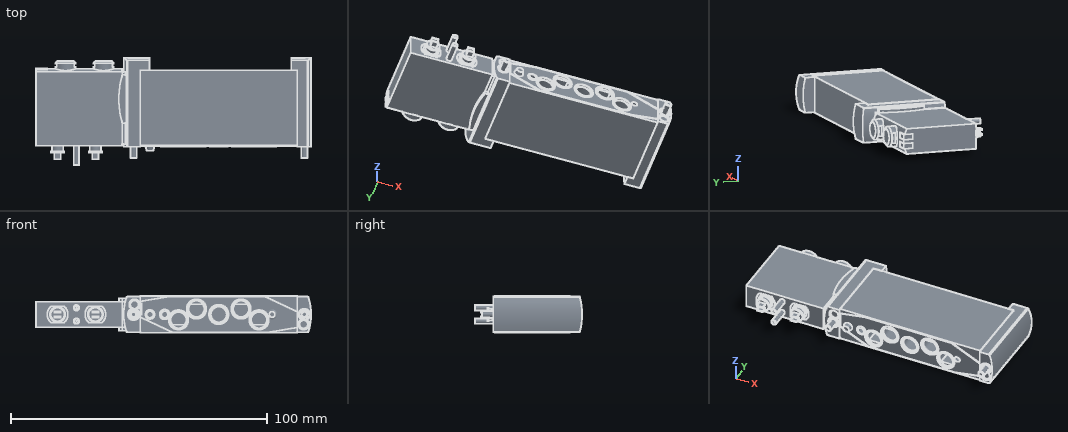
import cadquery as cq
import math


OVERALL_DEPTH = 41.91

HOUSING_LEFT = 40.85
HOUSING_RIGHT = 101.9
HOUSING_FRONT = 0.55
HOUSING_BACK = 29.95
HOUSING_HALF_HEIGHT = 7.2
HOUSING_MID = (HOUSING_LEFT + HOUSING_RIGHT) / 2

PAD_FRONT = 0.25
PAD_HALF_HEIGHT = 6.95
PAD_HALF_LENGTH = HOUSING_RIGHT - HOUSING_MID
PAD_STEEP_REACH = 18.1
PAD_SHALLOW_REACH = 19.5
PAD_STEEP_END = 1.1
PAD_SHALLOW_END = 5.1

SEAL_FRONT = 0.0
PORT_SEAL_DIAMETER = 7.7
PORT_MOUTH_DIAMETER = 6.5
PORT_DIAMETER = 6.1
PORT_MOUTH_END = 1.0
PORT_END = 8.0
PORT_OFFSET = 2.1
PORT_CEILING = 4.05
INNER_PORT_PITCH = 8.7
OUTER_PORT_PITCH = 15.7

PILOT_SEAL_DIAMETER = 3.9
PILOT_PORT_END = 3.0
PILOT_PORTS = [(50.3, 2.6), (92.2, 2.2)]

PEG_X = 44.55
PEG_DIAMETER = 3.6
PEG_TIP_DIAMETER = 2.6
PEG_TIP = -1.6

NOTCH_WIDTH = 0.45
NOTCH_DEPTH = 0.5
NOTCH_BOTTOM = -0.1
NOTCH_TOP = 4.35

CAP_HALF_HEIGHT = 7.0
CAP_BACK = 34.76
CAP_BACK_CROWN = 0.95
CAP_SIDE_CROWN = 1.1
CAP_CHAMFER_WIDTH = 0.5
CAP_CHAMFER_HEIGHT = 0.2
LEFT_CAP_OUTER = 34.3
RIGHT_CAP_OUTER = 107.45
LEFT_CAP_FOOT = 3.6
RIGHT_CAP_FOOT = 2.3

SCREW_DIAMETER = 2.5
SCREW_TIP = -4.5
SCREW_CHAMFER = 0.25
SCREW_RECESS_DIAMETER = 4.5
SCREW_RECESS_FLOOR_DIAMETER = 3.9
RECESS_DEPTH = 0.5
PLUG_DIAMETER = 4.2
PLUG_FLOOR_DIAMETER = 3.2
PLUG_OFFSET = 3.85
LEFT_SCREW_X = 38.15
RIGHT_SCREW_X = 104.75
LEFT_PLUG_X = 38.5
RIGHT_PLUG_X = 104.5

NECK_FRONT = 1.1
NECK_BACK = 29.2
NECK_HALF_HEIGHT = 5.0
LIP_FRONT = 9.2
LIP_BACK = 28.1
LIP_APEX_X = 32.4
LIP_HALF_HEIGHT = 6.39

PILOT_RIGHT = 33.7
PILOT_FRONT = 0.4
PILOT_BACK = 30.5
PILOT_BACK_CROWN = 1.2
PILOT_HALF_HEIGHT = 5.03

TAB_PROUD = 0.05
TAB_LENGTH = 4.5
TAB_HEIGHT = 2.1
TAB_OFFSET = 1.8
TAB_FRONT = 26.9
TAB_BACK = 30.6

SOCKET_X = [11.6, 26.45]
SOCKET_DIAMETER = 8.1
SOCKET_TOP_DIAMETER = 6.3
SOCKET_END = 33.5
SOCKET_CHAMFER_START = 32.65
SOCKET_FLAT_OFFSET = 3.5
SOCKET_FLAT_START = 31.15
SOCKET_FLAT_END = 32.4

CLIP_X = [8.5, 23.25]
CLIP_POCKET_DIAMETER = 8.1
CLIP_POCKET_HALF_HEIGHT = 3.15
CLIP_POCKET_DEPTH = 0.5
CLIP_HUB_DIAMETER = 6.0
CLIP_STEM_DIAMETER = 4.5
CLIP_FLANGE_DIAMETER = 5.3
CLIP_FLANGE_START = -1.65
CLIP_FLANGE_END = -2.35
CLIP_END = -4.85
BLADE_WIDTH = 2.6
BLADE_THICKNESS = 0.5
BLADE_OFFSET = 1.0

PIN_X = 15.85
PIN_OFFSET = 2.6
PIN_DIAMETER = 2.2
PIN_TIP = CAP_BACK - OVERALL_DEPTH
PIN_HOLE_DIAMETER = 1.8
PIN_HOLE_FLOOR_DIAMETER = 0.3
PIN_HOLE_DEPTH = 0.5


def box(x0, x1, y0, y1, z0, z1):
    """Rectangular block between the given limits."""
    block = cq.Workplane("XY").box(x1 - x0, y1 - y0, z1 - z0, centered=False)
    return block.translate((x0, y0, z0))


def turned(x, z, profile):
    """Solid of revolution about the Y-parallel axis at (x, z).

    The profile lists (diameter, y) along the axis.
    """
    points = [(0, profile[0][1])]
    points += [(diameter / 2, y) for diameter, y in profile]
    points += [(0, profile[-1][1])]
    half_section = cq.Workplane("XY", origin=(x, 0, z)).polyline(points).close()
    return half_section.revolve(360, (0, 0), (0, 1))


def cylinder(x, z, diameter, y0, y1):
    """Plain cylinder along Y."""
    return turned(x, z, [(diameter, y0), (diameter, y1)])


def crowned_back(x0, x1, front, back, crown, half_height):
    """Block whose back face bulges by `crown` between its top and bottom edges."""
    outline = (
        cq.Workplane("YZ", origin=(x0, 0, 0))
        .moveTo(front, -half_height)
        .lineTo(back - crown, -half_height)
        .threePointArc((back, 0), (back - crown, half_height))
        .lineTo(front, half_height)
        .close()
    )
    return outline.extrude(x1 - x0)



def label_tabs(block):
    """Two flat tabs that wrap the rear of the left face."""
    for side in (-1, 1):
        middle = side * TAB_OFFSET
        block = block.union(
            box(0, TAB_LENGTH, TAB_FRONT, TAB_BACK, middle - TAB_HEIGHT / 2, middle + TAB_HEIGHT / 2)
        )
    return block


def socket(x):
    """Round plug socket on the back, chamfered at its end, with two side flats."""
    body = turned(x, 0, [
        (SOCKET_DIAMETER, PILOT_BACK - PILOT_BACK_CROWN),
        (SOCKET_DIAMETER, SOCKET_CHAMFER_START),
        (SOCKET_TOP_DIAMETER, SOCKET_END),
    ])
    radius = SOCKET_DIAMETER / 2
    flats = [
        (x - radius, x - SOCKET_FLAT_OFFSET),
        (x + SOCKET_FLAT_OFFSET, x + radius),
    ]
    for left, right in flats:
        body = body.cut(box(left, right, SOCKET_FLAT_START, SOCKET_FLAT_END, -radius, radius))
    return body


def clip_pocket(x):
    """Shallow round pocket with flat top and bottom around a clip, leaving a round hub."""
    floor = PILOT_FRONT + CLIP_POCKET_DEPTH
    radius = CLIP_POCKET_DIAMETER / 2
    pocket = cylinder(x, 0, CLIP_POCKET_DIAMETER, PILOT_FRONT, floor)
    pocket = pocket.intersect(
        box(x - radius, x + radius, PILOT_FRONT, floor, -CLIP_POCKET_HALF_HEIGHT, CLIP_POCKET_HALF_HEIGHT)
    )
    return pocket.cut(cylinder(x, 0, CLIP_HUB_DIAMETER, PILOT_FRONT, floor))


def clip(x):
    """Flanged stem that ends in two parallel blades."""
    body = cylinder(x, 0, CLIP_STEM_DIAMETER, CLIP_FLANGE_START, PILOT_FRONT)
    body = body.union(cylinder(x, 0, CLIP_FLANGE_DIAMETER, CLIP_FLANGE_END, CLIP_FLANGE_START))
    for side in (-1, 1):
        middle = side * BLADE_OFFSET
        body = body.union(box(
            x - BLADE_WIDTH / 2, x + BLADE_WIDTH / 2,
            CLIP_END, CLIP_FLANGE_END,
            middle - BLADE_THICKNESS / 2, middle + BLADE_THICKNESS / 2,
        ))
    return body


def contact_pin(z):
    """Long pin with a conical dimple in its tip."""
    pin = cylinder(PIN_X, z, PIN_DIAMETER, PIN_TIP, PILOT_FRONT)
    dimple = turned(PIN_X, z, [
        (PIN_HOLE_DIAMETER, PIN_TIP),
        (PIN_HOLE_FLOOR_DIAMETER, PIN_TIP + PIN_HOLE_DEPTH),
    ])
    return pin.cut(dimple)


def make_pilot_block():
    block = crowned_back(
        TAB_PROUD, PILOT_RIGHT, PILOT_FRONT, PILOT_BACK, PILOT_BACK_CROWN, PILOT_HALF_HEIGHT
    )
    block = label_tabs(block)
    for x in SOCKET_X:
        block = block.union(socket(x))
    for x in CLIP_X:
        block = block.cut(clip_pocket(x)).union(clip(x))
    for side in (-1, 1):
        block = block.union(contact_pin(side * PIN_OFFSET))
    return block



def sealing_pad():
    """Raised pad with its corners cut off, the same after half a turn about Y."""
    half = [
        (-PAD_HALF_LENGTH, -PAD_STEEP_END),
        (-PAD_HALF_LENGTH, PAD_SHALLOW_END),
        (-PAD_SHALLOW_REACH, PAD_HALF_HEIGHT),
        (PAD_STEEP_REACH, PAD_HALF_HEIGHT),
    ]
    points = half + [(-x, -z) for x, z in half]
    outline = cq.Workplane("XZ", origin=(HOUSING_MID, HOUSING_FRONT, 0)).polyline(points).close()
    return outline.extrude(HOUSING_FRONT - PAD_FRONT)


def seal(x, z, base, bore):
    """Raised cone that becomes a sharp-edged seal ring once its bore is cut."""
    return turned(x, z, [(bore, SEAL_FRONT), (base, PAD_FRONT), (base, HOUSING_FRONT)])


def port_bore(x, z):
    """Round mouth, then a deeper passage flattened on the side away from the mid-plane."""
    mouth = cylinder(x, z, PORT_MOUTH_DIAMETER, SEAL_FRONT, PORT_MOUTH_END)
    passage = cylinder(x, z, PORT_DIAMETER, PORT_MOUTH_END, PORT_END)
    passage = passage.intersect(box(
        x - PORT_DIAMETER, x + PORT_DIAMETER,
        PORT_MOUTH_END, PORT_END,
        -PORT_CEILING, PORT_CEILING,
    ))
    return mouth.union(passage)


def end_notch():
    """Narrow notch in the front edge of the left end."""
    return box(
        HOUSING_LEFT, HOUSING_LEFT + NOTCH_WIDTH,
        PAD_FRONT, HOUSING_FRONT + NOTCH_DEPTH,
        NOTCH_BOTTOM, NOTCH_TOP,
    )


def make_housing():
    housing = box(
        HOUSING_LEFT, HOUSING_RIGHT,
        HOUSING_FRONT, HOUSING_BACK,
        -HOUSING_HALF_HEIGHT, HOUSING_HALF_HEIGHT,
    )
    housing = housing.union(sealing_pad())
    ports = [(HOUSING_MID, 0)]
    for side in (-1, 1):
        ports.append((HOUSING_MID + side * INNER_PORT_PITCH, PORT_OFFSET))
        ports.append((HOUSING_MID + side * OUTER_PORT_PITCH, -PORT_OFFSET))
    for x, z in ports:
        housing = housing.union(seal(x, z, PORT_SEAL_DIAMETER, PORT_MOUTH_DIAMETER))
    for x, diameter in PILOT_PORTS:
        housing = housing.union(seal(x, 0, PILOT_SEAL_DIAMETER, diameter))
    for x, z in ports:
        housing = housing.cut(port_bore(x, z))
    for x, diameter in PILOT_PORTS:
        housing = housing.cut(cylinder(x, 0, diameter, SEAL_FRONT, PILOT_PORT_END))
    peg = turned(PEG_X, 0, [
        (PEG_TIP_DIAMETER, PEG_TIP),
        (PEG_DIAMETER, PAD_FRONT),
        (PEG_DIAMETER, HOUSING_FRONT),
    ])
    housing = housing.union(peg)
    return housing.cut(end_notch())



def end_cap(outer, inner, foot, screw_x, plug_x, plug_z):
    """Cap between its crowned outer face and the housing end, with screw and plug recess."""
    inward = math.copysign(1, inner - outer)
    edge = outer + inward * CAP_SIDE_CROWN
    edge_height = CAP_HALF_HEIGHT - CAP_CHAMFER_HEIGHT
    chamfer_end = edge + inward * CAP_CHAMFER_WIDTH
    foot_end = inner + inward * foot
    cap = crowned_back(
        min(outer, foot_end), max(outer, foot_end), 0, CAP_BACK, CAP_BACK_CROWN, CAP_HALF_HEIGHT
    )
    side_profile = (
        cq.Workplane("XZ")
        .moveTo(foot_end, -CAP_HALF_HEIGHT)
        .lineTo(chamfer_end, -CAP_HALF_HEIGHT)
        .lineTo(edge, -edge_height)
        .threePointArc((outer, 0), (edge, edge_height))
        .lineTo(chamfer_end, CAP_HALF_HEIGHT)
        .lineTo(foot_end, CAP_HALF_HEIGHT)
        .close()
        .extrude(-CAP_BACK)
    )
    cap = cap.intersect(side_profile)
    cap = cap.cut(box(
        min(inner, foot_end), max(inner, foot_end),
        0, HOUSING_BACK,
        -CAP_HALF_HEIGHT, CAP_HALF_HEIGHT,
    ))
    cap = cap.cut(turned(screw_x, 0, [
        (SCREW_RECESS_DIAMETER, 0),
        (SCREW_RECESS_FLOOR_DIAMETER, RECESS_DEPTH),
    ]))
    cap = cap.cut(turned(plug_x, plug_z, [(PLUG_DIAMETER, 0), (PLUG_FLOOR_DIAMETER, RECESS_DEPTH)]))
    screw = turned(screw_x, 0, [
        (SCREW_DIAMETER - 2 * SCREW_CHAMFER, SCREW_TIP),
        (SCREW_DIAMETER, SCREW_TIP + SCREW_CHAMFER),
        (SCREW_DIAMETER, RECESS_DEPTH),
    ])
    return cap.union(screw)


def pilot_neck():
    """Neck between the left cap and the pilot block."""
    neck_end = LEFT_CAP_OUTER + CAP_SIDE_CROWN
    return box(PILOT_RIGHT, neck_end, NECK_FRONT, NECK_BACK, -NECK_HALF_HEIGHT, NECK_HALF_HEIGHT)


def pilot_lip(bottom, top):
    """Curved lip that reaches over the pilot block."""
    root = LEFT_CAP_OUTER + CAP_SIDE_CROWN
    outline = (
        cq.Workplane("XY", origin=(0, 0, bottom))
        .moveTo(root, LIP_FRONT)
        .lineTo(PILOT_RIGHT, LIP_FRONT)
        .threePointArc((LIP_APEX_X, (LIP_FRONT + LIP_BACK) / 2), (PILOT_RIGHT, LIP_BACK))
        .lineTo(root, LIP_BACK)
        .close()
    )
    return outline.extrude(top - bottom)


def make_left_cap():
    cap = end_cap(LEFT_CAP_OUTER, HOUSING_LEFT, LEFT_CAP_FOOT, LEFT_SCREW_X, LEFT_PLUG_X, PLUG_OFFSET)
    cap = cap.union(pilot_neck())
    cap = cap.union(pilot_lip(PILOT_HALF_HEIGHT, LIP_HALF_HEIGHT))
    return cap.union(pilot_lip(-LIP_HALF_HEIGHT, -PILOT_HALF_HEIGHT))


def make_right_cap():
    return end_cap(
        RIGHT_CAP_OUTER, HOUSING_RIGHT, RIGHT_CAP_FOOT, RIGHT_SCREW_X, RIGHT_PLUG_X, -PLUG_OFFSET
    )


pilot_block = make_pilot_block()
housing = make_housing()
left_cap = make_left_cap()
right_cap = make_right_cap()

result = cq.Compound.makeCompound([
    pilot_block.solids().val(),
    housing.solids().val(),
    left_cap.solids().val(),
    right_cap.solids().val(),
])